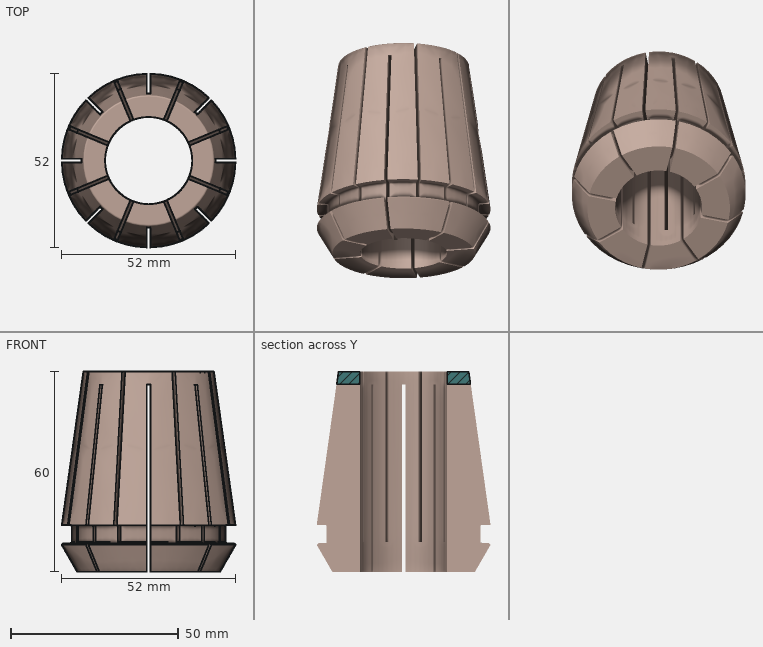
import cadquery as cq
import math

total_height = 60.0
max_radius = 26.0
bore_radius = 13.0
taper_half_angle = 8.0
top_edge_fillet = 0.5

taper_base_z = 14.0
groove_floor_z = 8.6
groove_radius = 23.0
groove_fillet = 0.4

nose_half_angle = 30.0
rim_chamfer = 0.5

slots_per_end = 8
slot_width = 1.05
slot_cutter_length = 2.5 * max_radius
bottom_slot_top_z = 56.0
top_slot_floor_z = groove_floor_z + groove_fillet

match_tolerance = 1e-3

slot_pitch = 360.0 / slots_per_end
rim_base_z = groove_floor_z - rim_chamfer
top_radius = max_radius - (total_height - taper_base_z) * math.tan(math.radians(taper_half_angle))
nose_radius = max_radius - rim_base_z * math.tan(math.radians(nose_half_angle))


def make_body():
    """Revolved collet: nose, groove and long taper around the bore."""
    profile = (
        cq.Workplane("XZ")
        .moveTo(bore_radius, 0)
        .lineTo(nose_radius, 0)
        .lineTo(max_radius, rim_base_z)
        .lineTo(max_radius - rim_chamfer, groove_floor_z)
        .lineTo(groove_radius, groove_floor_z)
        .lineTo(groove_radius, taper_base_z)
        .lineTo(max_radius, taper_base_z)
        .lineTo(top_radius, total_height)
        .lineTo(bore_radius, total_height)
        .close()
    )
    body = profile.revolve(360, (0, 0, 0), (0, 1, 0))
    body = round_circle(body, groove_radius, groove_floor_z, groove_fillet)
    body = round_circle(body, groove_radius, taper_base_z, groove_fillet)
    return round_circle(body, top_radius, total_height, top_edge_fillet)


def round_circle(body, radius, z, fillet_radius):
    """Fillet the circular edge of the given radius at height z."""
    circles = [
        edge
        for edge in body.edges("%CIRCLE").vals()
        if abs(edge.radius() - radius) < match_tolerance and abs(edge.Center().z - z) < match_tolerance
    ]
    return body.newObject(circles).fillet(fillet_radius)


def cut_slots(body, bottom_z, top_z, first_angle):
    """Cut a ring of radial slots between two heights, from the bore outwards.

    Each cutter spans the full diameter, so it makes two opposite slots.
    """
    height = top_z - bottom_z
    slot = (
        cq.Workplane("XY", origin=(0, 0, bottom_z))
        .rect(slot_cutter_length, slot_width)
        .extrude(height)
    )
    for index in range(slots_per_end // 2):
        angle = first_angle + index * slot_pitch
        body = body.cut(slot.rotate((0, 0, 0), (0, 0, 1), angle))
    return body


result = make_body()
result = cut_slots(result, 0, bottom_slot_top_z, 0)
result = cut_slots(result, top_slot_floor_z, total_height, slot_pitch / 2)